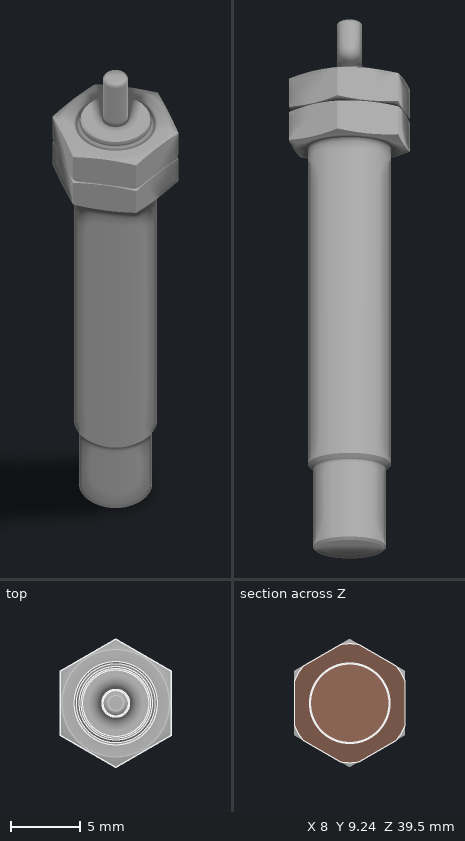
import cadquery as cq
import math

TOTAL_HEIGHT = 39.5
ROD_LENGTH = 4.0
BODY_TOP = TOTAL_HEIGHT - ROD_LENGTH
COLLAR_RISE = 0.5
NUT_HEIGHT = 2.5
NUT_COUNT = 2
NUT_STACK_TOP = BODY_TOP - COLLAR_RISE
NUT_STACK_BOTTOM = NUT_STACK_TOP - NUT_COUNT * NUT_HEIGHT
STEM_LENGTH = 6.0

BARREL_RADIUS = 6.0 / 2
NECK_RADIUS = 5.7 / 2
LEDGE_RADIUS = 5.3 / 2
COLLAR_RADIUS = 5.0 / 2
STEM_RADIUS = 5.3 / 2
COLLAR_CHAMFER = 0.1
STEM_CHAMFER = 0.2

ROD_RADIUS = 1.8 / 2
ROD_FILLET = 0.35
ROD_BORE_RADIUS = 1.85 / 2
ROD_BORE_DEPTH = 0.4
ROD_BORE_CHAMFER = 0.08

NUT_ACROSS_FLATS = 8.0
NUT_ACROSS_CORNERS = NUT_ACROSS_FLATS / math.cos(math.pi / 6)
NUT_FACE_RADIUS = 7.75 / 2
NUT_CORNER_DROP = 0.2
NUT_COUNTERSINK = BARREL_RADIUS - NECK_RADIUS


def make_body():
    """Turned body and rod: stem, barrel, neck inside the nuts, collar, gap and rod."""
    barrel_chamfer = BARREL_RADIUS - STEM_RADIUS
    neck_chamfer = NECK_RADIUS - LEDGE_RADIUS
    fillet_middle = ROD_FILLET * (1 - math.sqrt(0.5))
    profile = (
        cq.Workplane("XZ")
        .moveTo(0, 0)
        .lineTo(STEM_RADIUS - STEM_CHAMFER, 0)
        .lineTo(STEM_RADIUS, STEM_CHAMFER)
        .lineTo(STEM_RADIUS, STEM_LENGTH)
        .lineTo(BARREL_RADIUS, STEM_LENGTH + barrel_chamfer)
        .lineTo(BARREL_RADIUS, NUT_STACK_BOTTOM)
        .lineTo(NECK_RADIUS, NUT_STACK_BOTTOM)
        .lineTo(NECK_RADIUS, NUT_STACK_TOP - neck_chamfer)
        .lineTo(LEDGE_RADIUS, NUT_STACK_TOP)
        .lineTo(COLLAR_RADIUS, NUT_STACK_TOP)
        .lineTo(COLLAR_RADIUS, BODY_TOP - COLLAR_CHAMFER)
        .lineTo(COLLAR_RADIUS - COLLAR_CHAMFER, BODY_TOP)
        .lineTo(ROD_BORE_RADIUS + ROD_BORE_CHAMFER, BODY_TOP)
        .lineTo(ROD_BORE_RADIUS, BODY_TOP - ROD_BORE_CHAMFER)
        .lineTo(ROD_BORE_RADIUS, BODY_TOP - ROD_BORE_DEPTH)
        .lineTo(ROD_RADIUS, BODY_TOP - ROD_BORE_DEPTH)
        .lineTo(ROD_RADIUS, TOTAL_HEIGHT - ROD_FILLET)
        .threePointArc(
            (ROD_RADIUS - fillet_middle, TOTAL_HEIGHT - fillet_middle),
            (ROD_RADIUS - ROD_FILLET, TOTAL_HEIGHT),
        )
        .lineTo(0, TOTAL_HEIGHT)
        .close()
    )
    return profile.revolve(360, (0, 0), (0, 1))


def make_nut(bottom):
    """Hexagonal nut with conical outer faces and a bore countersunk at both ends."""
    hexagon = (
        cq.Workplane("XY")
        .polygon(6, NUT_ACROSS_CORNERS)
        .extrude(NUT_HEIGHT)
        .rotate((0, 0, 0), (0, 0, 1), 90)
    )
    corner_radius = NUT_ACROSS_CORNERS / 2
    ring = (
        cq.Workplane("XZ")
        .polyline([
            (BARREL_RADIUS, 0),
            (NUT_FACE_RADIUS, 0),
            (corner_radius, NUT_CORNER_DROP),
            (corner_radius, NUT_HEIGHT - NUT_CORNER_DROP),
            (NUT_FACE_RADIUS, NUT_HEIGHT),
            (BARREL_RADIUS, NUT_HEIGHT),
            (NECK_RADIUS, NUT_HEIGHT - NUT_COUNTERSINK),
            (NECK_RADIUS, NUT_COUNTERSINK),
        ])
        .close()
        .revolve(360, (0, 0), (0, 1))
    )
    return hexagon.intersect(ring).translate((0, 0, bottom)).solids()


body = make_body()
nuts = [make_nut(NUT_STACK_BOTTOM + index * NUT_HEIGHT) for index in range(NUT_COUNT)]

result = cq.Compound.makeCompound([body.val(), *[nut.val() for nut in nuts]])